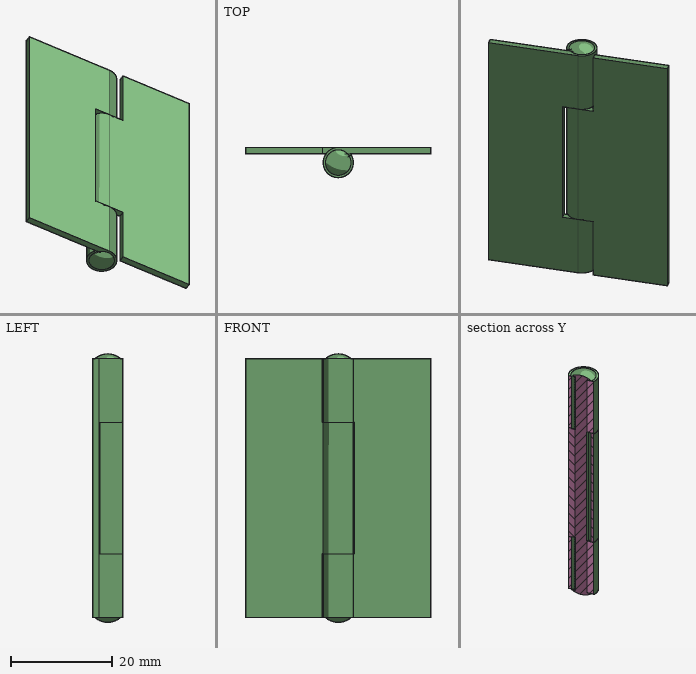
import cadquery as cq
import math

total_height = 53.0
leaf_height = 51.1
hinge_width = 36.5
sheet_thickness = 1.25
barrel_diameter = 6.0

middle_knuckle_height = 25.95
leaf_edge_offset = 3.15
curl_end_angle = 30.0

head_diameter = 5.05

barrel_radius = barrel_diameter / 2
bore_radius = barrel_radius - sheet_thickness
leaf_reach = hinge_width / 2
end_knuckle_height = (leaf_height - middle_knuckle_height) / 2
head_height = (total_height - leaf_height) / 2
head_radius = head_diameter / 2
leaf_bottom = -leaf_height / 2
middle_bottom = -middle_knuckle_height / 2
middle_top = middle_knuckle_height / 2


def polar(radius, degrees):
    angle = math.radians(degrees)
    return (radius * math.cos(angle), radius * math.sin(angle))


def make_plate(bottom, height):
    """Flat sheet on the +X side, from the free edge to the outer edge."""
    return (
        cq.Workplane("XY", origin=(0, 0, bottom))
        .moveTo(leaf_edge_offset, bore_radius)
        .lineTo(leaf_reach, bore_radius)
        .lineTo(leaf_reach, barrel_radius)
        .lineTo(leaf_edge_offset, barrel_radius)
        .close()
        .extrude(height)
    )


def make_knuckle(bottom, height):
    """Sheet that runs in from +X and rolls around the pin, stopping just short of itself."""
    middle_angle = (90.0 + 360.0 + curl_end_angle) / 2
    return (
        cq.Workplane("XY", origin=(0, 0, bottom))
        .moveTo(leaf_edge_offset, barrel_radius)
        .lineTo(0, barrel_radius)
        .threePointArc(polar(barrel_radius, middle_angle), polar(barrel_radius, curl_end_angle))
        .lineTo(*polar(bore_radius, curl_end_angle))
        .threePointArc(polar(bore_radius, middle_angle), (0, bore_radius))
        .lineTo(leaf_edge_offset, bore_radius)
        .close()
        .extrude(height)
    )


def make_right_leaf():
    """Leaf with a knuckle at each end."""
    leaf = make_plate(leaf_bottom, leaf_height)
    for bottom in (leaf_bottom, middle_top):
        leaf = leaf.union(make_knuckle(bottom, end_knuckle_height))
    return leaf


def make_left_leaf():
    """Leaf with one middle knuckle, mirrored to the -X side."""
    leaf = make_plate(leaf_bottom, leaf_height)
    leaf = leaf.union(make_knuckle(middle_bottom, middle_knuckle_height))
    return leaf.mirror("YZ")


def make_pin():
    """Round pin filling the bores, with a domed head resting on each end of the barrel."""
    half_leaf = leaf_height / 2
    half_total = total_height / 2
    dome_radius = (head_radius**2 + head_height**2) / (2 * head_height)
    dome_center = half_total - dome_radius
    half_arc = math.asin(head_radius / dome_radius) / 2
    arc_x = dome_radius * math.sin(half_arc)
    arc_z = dome_center + dome_radius * math.cos(half_arc)
    return (
        cq.Workplane("XZ")
        .moveTo(0, -half_total)
        .threePointArc((arc_x, -arc_z), (head_radius, -half_leaf))
        .lineTo(bore_radius, -half_leaf)
        .lineTo(bore_radius, half_leaf)
        .lineTo(head_radius, half_leaf)
        .threePointArc((arc_x, arc_z), (0, half_total))
        .close()
        .revolve(360, (0, 0, 0), (0, 1, 0))
    )


right_leaf = make_right_leaf()
left_leaf = make_left_leaf()
pin = make_pin()

result = cq.Compound.makeCompound([right_leaf.val(), left_leaf.val(), pin.val()])